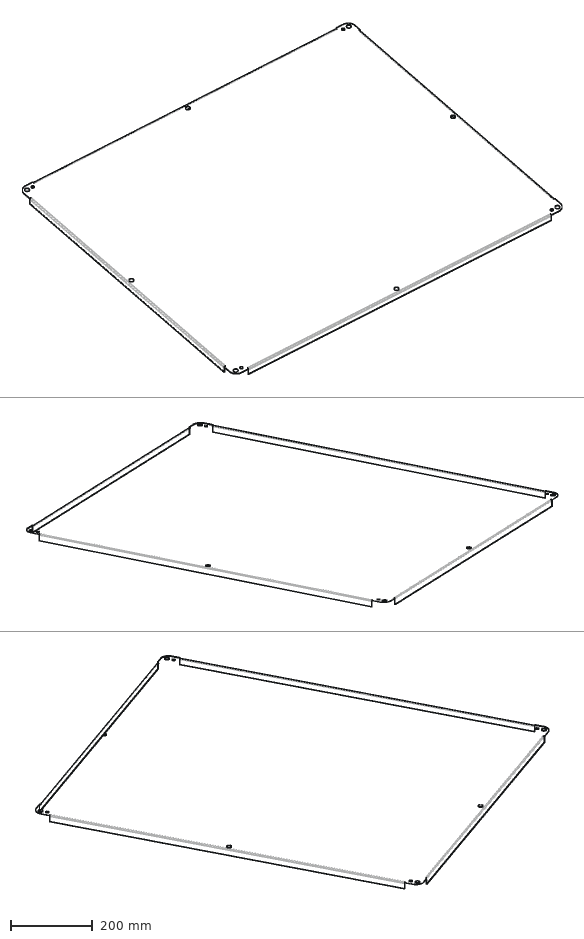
import cadquery as cq

width = 869.0
length = 1021.0
height = 19.0
thickness = 2.6

bend_radius = 4.6
inner_bend_radius = bend_radius - thickness
flange_setback = 43.0
corner_radius = 20.0

mounting_diameter = 12.0
small_diameter = 8.0
hole_inset = 14.0
small_hole_end_inset = 32.0

hole_x = width / 2 - hole_inset
hole_y = length / 2 - hole_inset
small_hole_y = length / 2 - small_hole_end_inset


def make_plate():
    """Flat face with rounded corners."""
    return (
        cq.Workplane("XY")
        .workplane(offset=height - thickness)
        .rect(width, length)
        .extrude(thickness)
        .edges("|Z")
        .fillet(corner_radius)
    )


def make_folded_core():
    """Shallow tray, open below, with rounded folds along all four top edges."""
    outer = cq.Workplane("XY").rect(width, length).extrude(height)
    outer = outer.faces(">Z").edges().fillet(bend_radius)
    inner = (
        cq.Workplane("XY")
        .rect(width - 2 * thickness, length - 2 * thickness)
        .extrude(height - thickness)
        .faces(">Z")
        .edges()
        .fillet(inner_bend_radius)
    )
    return outer.cut(inner)


def make_panel():
    """Folds between the setbacks, flat plate in the corners."""
    fold_width = width - 2 * flange_setback
    fold_length = length - 2 * flange_setback
    fold_zone = (
        cq.Workplane("XY").rect(fold_width, length).extrude(height)
        .union(cq.Workplane("XY").rect(width, fold_length).extrude(height))
    )
    folded = make_folded_core().intersect(fold_zone)
    corners = make_plate().cut(fold_zone)
    return folded.union(corners)


def drill(panel, points, diameter):
    """Cut vertical through holes at the given points."""
    holes = cq.Workplane("XY").pushPoints(points).circle(diameter / 2).extrude(height)
    return panel.cut(holes)


signs = [(sx, sy) for sx in (-1, 1) for sy in (-1, 1)]
mounting_points = [(sx * hole_x, sy * hole_y) for sx, sy in signs]
mounting_points += [(-hole_x, 0), (hole_x, 0), (0, -hole_y), (0, hole_y)]
small_points = [(sx * hole_x, sy * small_hole_y) for sx, sy in signs]

result = make_panel()
result = drill(result, mounting_points, mounting_diameter)
result = drill(result, small_points, small_diameter)